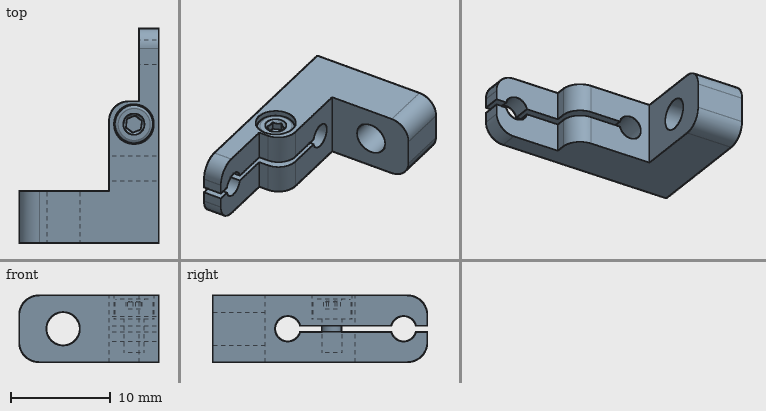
import cadquery as cq
import math

length = 21.5
width = 14.0
height = 6.7
mid_height = height / 2
foot_depth = 5.25
boss_width = 5.0
boss_end = 14.21
arm_thickness = 2.0
corner_radius = 2.0

foot_bore_diameter = 3.31
foot_bore_x = 4.4
clamp_bore_diameter = 2.52
inner_clamp_y = 7.52
outer_clamp_y = 19.11
slot_gap = 0.6

screw_x = width - boss_width / 2
screw_y = 11.91
shank_diameter = 2.0
head_diameter = 3.8
head_height = 2.0
head_edge_radius = 0.3
head_recess = 0.35
counterbore_diameter = 4.0
screw_tip_z = 0.99
head_top_z = height - head_recess
head_seat_z = head_top_z - head_height

hex_across_flats = 1.5
hex_corner_diameter = hex_across_flats / math.cos(math.pi / 6)
hex_angle = -8.0
socket_depth = 1.0
lead_in_diameter = 2.13
lead_in_angle = 45.0
lead_in_depth = (lead_in_diameter - hex_across_flats) / 2 * math.tan(math.radians(lead_in_angle))


def cylinder_z(x, y, z_bottom, z_top, diameter):
    """Upright cylinder between two heights."""
    return (
        cq.Workplane("XY", origin=(x, y, z_bottom))
        .circle(diameter / 2)
        .extrude(z_top - z_bottom)
    )


def make_blank():
    """Stepped L outline, with rounded boss, foot and arm corners."""
    boss_x = width - boss_width
    arm_x = width - arm_thickness
    blank = (
        cq.Workplane("XY")
        .moveTo(0, 0)
        .lineTo(width, 0)
        .lineTo(width, length)
        .lineTo(arm_x, length)
        .lineTo(arm_x, boss_end)
        .lineTo(boss_x + corner_radius, boss_end)
        .radiusArc((boss_x, boss_end - corner_radius), -corner_radius)
        .lineTo(boss_x, foot_depth)
        .lineTo(0, foot_depth)
        .close()
        .extrude(height)
    )
    blank = blank.faces("<X").edges("|Y").fillet(corner_radius)
    return blank.faces(">Y").edges("|X").fillet(corner_radius)


def make_bracket():
    """Blank with the foot bore, split clamp bores and screw hole removed."""
    bracket = make_blank()

    foot_bore = (
        cq.Workplane("XZ", origin=(foot_bore_x, 0, mid_height))
        .circle(foot_bore_diameter / 2)
        .extrude(-foot_depth)
    )
    bracket = bracket.cut(foot_bore)

    for clamp_y in (inner_clamp_y, outer_clamp_y):
        clamp_bore = (
            cq.Workplane("YZ", origin=(0, clamp_y, mid_height))
            .circle(clamp_bore_diameter / 2)
            .extrude(width)
        )
        bracket = bracket.cut(clamp_bore)

    slot_length = length - inner_clamp_y
    slot = cq.Workplane("XY").box(width, slot_length, slot_gap, centered=(False, False, True))
    bracket = bracket.cut(slot.translate((0, inner_clamp_y, mid_height)))

    shank_hole = cylinder_z(screw_x, screw_y, screw_tip_z, height, shank_diameter)
    counterbore = cylinder_z(screw_x, screw_y, head_seat_z, height, counterbore_diameter)
    return bracket.cut(shank_hole).cut(counterbore)


def make_socket():
    """Hexagonal recess joined to the cone that leads into it."""
    hexagon = (
        cq.Workplane("XY")
        .transformed(rotate=(0, 0, 90 + hex_angle))
        .polygon(6, hex_corner_diameter)
        .extrude(-socket_depth)
    )
    lead_in = cq.Workplane(
        cq.Solid.makeCone(hex_across_flats / 2, lead_in_diameter / 2, lead_in_depth).translate(
            cq.Vector(0, 0, -lead_in_depth)
        )
    )
    return hexagon.union(lead_in).translate((screw_x, screw_y, head_top_z))


def make_screw():
    """Cap screw with a rounded head edge and a hexagonal socket."""
    head = cylinder_z(screw_x, screw_y, head_seat_z, head_top_z, head_diameter)
    head = head.faces(">Z").edges().fillet(head_edge_radius)
    shank = cylinder_z(screw_x, screw_y, screw_tip_z, head_seat_z, shank_diameter)
    return head.union(shank).cut(make_socket())


bracket = make_bracket()
screw = make_screw()
result = cq.Compound.makeCompound([bracket.val(), screw.val()])